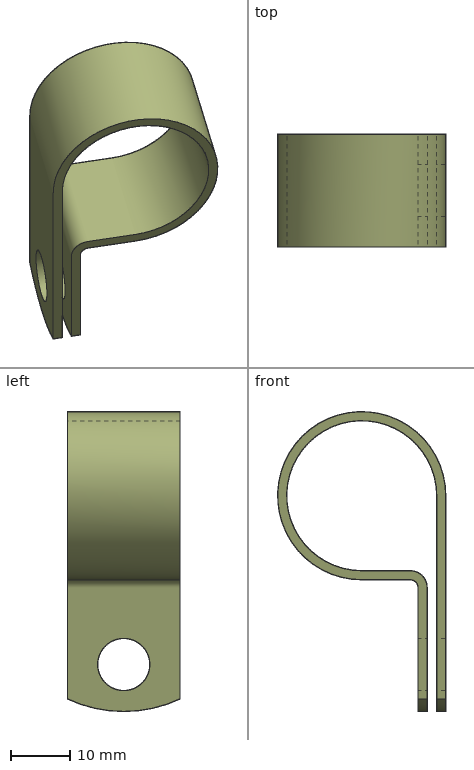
import cadquery as cq
import math

height = 50.7
loop_diameter = 28.45
width = 19.05
thickness = 1.55
leg_gap = 1.55
bend_inner_radius = 1.3
hole_diameter = 8.75
hole_height = 7.95
tip_arc_rise = 2.15

outer_radius = loop_diameter / 2
inner_radius = outer_radius - thickness
bend_outer_radius = bend_inner_radius + thickness
tip_z = outer_radius - height
short_leg_outer_x = inner_radius - leg_gap
short_leg_inner_x = short_leg_outer_x - thickness
bend_x = short_leg_outer_x - bend_outer_radius
bend_z = -inner_radius - bend_outer_radius
diagonal = math.sqrt(0.5)


def strap():
    """Bent strip: long leg, three-quarter loop, shelf, bend and short leg."""
    profile = (
        cq.Workplane("XZ")
        .moveTo(outer_radius, tip_z)
        .lineTo(outer_radius, 0)
        .threePointArc((-outer_radius * diagonal, outer_radius * diagonal), (0, -outer_radius))
        .lineTo(bend_x, -outer_radius)
        .threePointArc(
            (bend_x + bend_inner_radius * diagonal, bend_z + bend_inner_radius * diagonal),
            (short_leg_inner_x, bend_z),
        )
        .lineTo(short_leg_inner_x, tip_z)
        .lineTo(short_leg_outer_x, tip_z)
        .lineTo(short_leg_outer_x, bend_z)
        .threePointArc(
            (bend_x + bend_outer_radius * diagonal, bend_z + bend_outer_radius * diagonal),
            (bend_x, -inner_radius),
        )
        .lineTo(0, -inner_radius)
        .threePointArc((-inner_radius * diagonal, inner_radius * diagonal), (inner_radius, 0))
        .lineTo(inner_radius, tip_z)
        .close()
    )
    return profile.extrude(width / 2, both=True)


def side_outline():
    """Block across both legs whose lower edge is the arc of the tips."""
    return (
        cq.Workplane("YZ", origin=(-outer_radius, 0, 0))
        .moveTo(-width / 2, outer_radius)
        .lineTo(-width / 2, tip_z + tip_arc_rise)
        .threePointArc((0, tip_z), (width / 2, tip_z + tip_arc_rise))
        .lineTo(width / 2, outer_radius)
        .close()
        .extrude(loop_diameter)
    )


def screw_hole():
    """Cylinder that passes through both legs."""
    return (
        cq.Workplane("YZ")
        .center(0, tip_z + hole_height)
        .circle(hole_diameter / 2)
        .extrude(outer_radius)
    )


result = strap().intersect(side_outline()).cut(screw_hole())